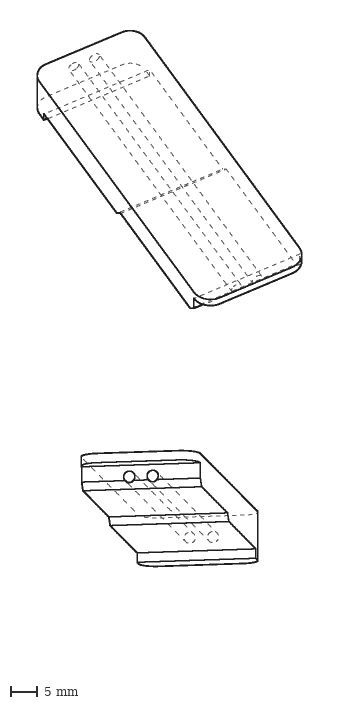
import cadquery as cq

length = 67.15
width = 22.9
height = 9.4
front_corner_radius = 3.2
rear_corner_radius = 3.6

foot_length = 5.0
foot_drop = 1.8
step_start = 33.45
bevel = 1.4
lip_length = 3.6
lip_thickness = 1.8

hole_diameter = 2.15
hole_spacing = 4.5
hole_height = 5.4

deep_level = foot_drop
shallow_level = deep_level + bevel
lip_level = height - lip_thickness
body_end = length - lip_length


def make_body():
    """Side profile extruded symmetrically across the width."""
    profile = [
        (0, 0),
        (foot_length, 0),
        (foot_length, deep_level),
        (step_start, deep_level),
        (step_start + bevel, shallow_level),
        (body_end - bevel, shallow_level),
        (body_end, shallow_level + bevel),
        (body_end, lip_level),
        (length, lip_level),
        (length, height),
        (0, height),
    ]
    return cq.Workplane("XZ").polyline(profile).close().extrude(width / 2, both=True)


def make_outline():
    """Rounded plan outline, used to trim the body corners."""
    block = cq.Workplane("XY").box(length, width, height, centered=(False, True, False))
    block = block.edges("|Z and <X").fillet(front_corner_radius)
    return block.edges("|Z and >X").fillet(rear_corner_radius)


def make_holes():
    """Two parallel bores running the full length."""
    centers = [(side * hole_spacing / 2, hole_height) for side in (-1, 1)]
    return cq.Workplane("YZ").pushPoints(centers).circle(hole_diameter / 2).extrude(length)


result = make_body().intersect(make_outline()).cut(make_holes())